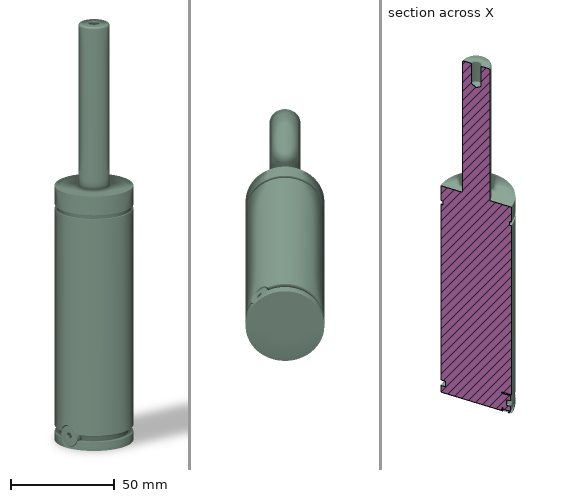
import cadquery as cq
import math

total_height = 210.0
body_diameter = 38.0
body_radius = body_diameter / 2

rod_diameter = 15.0
rod_edge_radius = 1.0
rod_hole_diameter = 5.0
rod_hole_mouth_chamfer = 0.5
rod_hole_depth = 12.5
drill_tip_angle = 118.0

cap_top = 128.3
cap_groove_top = 118.9
cap_groove_bottom = 116.8
cap_groove_depth = 1.0

base_groove_bottom = 4.5
base_groove_top = 7.5
base_groove_radius = 16.5

plug_height = 6.0
plug_bore_diameter = 11.0
plug_diameter = 10.0
plug_face_offset = 18.5
plug_seat_offset = 13.6
socket_across_corners = 3.5
socket_depth = 2.0


def cylinder(diameter, bottom, top):
    return cq.Workplane("XY").workplane(offset=bottom).circle(diameter / 2).extrude(top - bottom)


def ring_groove(bottom, top, floor_radius):
    """Ring of material to remove from the outside of the body."""
    outside = cylinder(body_diameter + 4.2, bottom, top)
    return outside.cut(cylinder(2 * floor_radius, bottom, top))


def body():
    blank = cylinder(body_diameter, 0, cap_top)
    blank = blank.cut(ring_groove(cap_groove_bottom, cap_groove_top, body_radius - cap_groove_depth))
    return blank.cut(ring_groove(base_groove_bottom, base_groove_top, base_groove_radius))


def rod():
    return cylinder(rod_diameter, cap_top, total_height).faces(">Z").fillet(rod_edge_radius)


def rod_hole():
    """Blind drilled hole with a conical bottom and a chamfered mouth."""
    radius = rod_hole_diameter / 2
    mouth_radius = radius + rod_hole_mouth_chamfer
    floor = total_height - rod_hole_depth
    tip_length = radius / math.tan(math.radians(drill_tip_angle / 2))
    profile = [
        (0, total_height),
        (mouth_radius, total_height),
        (radius, total_height - rod_hole_mouth_chamfer),
        (radius, floor),
        (0, floor - tip_length),
    ]
    return cq.Workplane("XZ").polyline(profile).close().revolve(360, (0, 0), (0, 1))


def plug_plane(offset):
    """Plane facing -Y at the plug height, at the given distance from the body axis."""
    return cq.Workplane("XZ", origin=(0, -offset, plug_height))


def plug_bore():
    return plug_plane(plug_seat_offset).circle(plug_bore_diameter / 2).extrude(body_radius - plug_seat_offset)


def plug():
    """Round plug with a hexagon socket in its face."""
    length = plug_face_offset - plug_seat_offset
    blank = plug_plane(plug_seat_offset).circle(plug_diameter / 2).extrude(length)
    socket = plug_plane(plug_face_offset).polygon(6, socket_across_corners).extrude(-socket_depth)
    return blank.cut(socket)


result = body().union(rod()).cut(rod_hole()).cut(plug_bore()).union(plug())